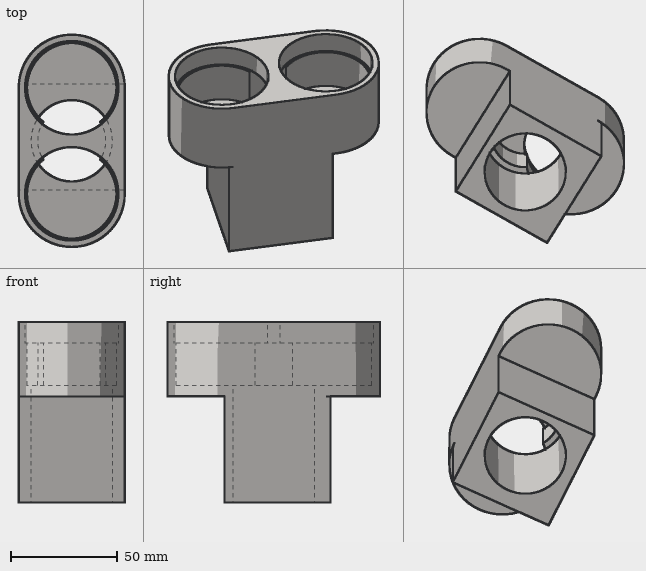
import cadquery as cq

width = 50.0
length = 100.0
height = 85.0

post_side = width
post_height = 50.0
post_offset_y = 1.8

cup_spacing = length - width
mouth_diameter = 44.0
mouth_depth = 10.0
cup_diameter = 42.0
floor_thickness = 5.0

post_bore_diameter = 38.2
link_diameter = 32.0

floor_z = post_height + floor_thickness
ledge_z = height - mouth_depth
cup_centers = [(0, -cup_spacing / 2), (0, cup_spacing / 2)]


def cylinders(diameter, bottom_z, top_z, centers):
    """Vertical cylinders of equal size at the given XY centers."""
    plane = cq.Workplane("XY").workplane(offset=bottom_z)
    return plane.pushPoints(centers).circle(diameter / 2).extrude(top_z - bottom_z)


def make_body():
    """Solid square post carrying a round-ended head."""
    post = (
        cq.Workplane("XY")
        .center(0, post_offset_y)
        .rect(post_side, post_side)
        .extrude(post_height)
    )
    head = (
        cq.Workplane("XY")
        .workplane(offset=post_height)
        .slot2D(length, width, 90)
        .extrude(height - post_height)
    )
    return post.union(head)


def cut_cups(body):
    """Cut each cup and the wider mouth that leaves a narrow ledge in it."""
    body = body.cut(cylinders(cup_diameter, floor_z, ledge_z, cup_centers))
    return body.cut(cylinders(mouth_diameter, ledge_z, height, cup_centers))


def cut_passages(body):
    """Open the post into the cups and join the cups below their ledges."""
    center = [(0, 0)]
    body = body.cut(cylinders(post_bore_diameter, 0, floor_z, center))
    return body.cut(cylinders(link_diameter, floor_z, ledge_z, center))


result = cut_passages(cut_cups(make_body()))